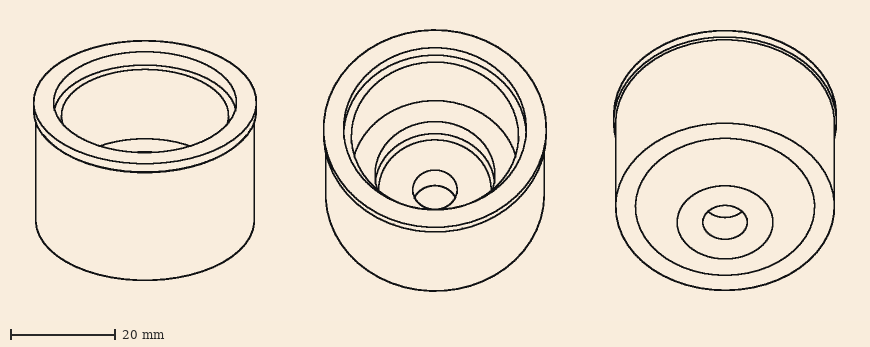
import cadquery as cq
import math

rim_diameter = 42.7
body_diameter = 41.95
total_height = 31.7
rim_height = 2.3
rim_chamfer_slope = 45.0
nose_height = 4.6
nose_tip_diameter = 18.35
nose_slope = 30.0

mouth_diameter = 35.0
mouth_depth = 3.07
bore_diameter = 32.02
bore_depth = 19.0
recess_diameter = 22.97
recess_wall_height = 5.0
recess_floor_diameter = 21.55
recess_foot_slope = 60.0
hole_diameter = 8.5


def cone_rise(wide_diameter, narrow_diameter, slope):
    """Height of a cone between two diameters at a slope in degrees."""
    return (wide_diameter - narrow_diameter) / 2 * math.tan(math.radians(slope))


nose_top_diameter = nose_tip_diameter + 2 * nose_height / math.tan(math.radians(nose_slope))

rim_bottom = total_height - rim_height
rim_chamfer_top = rim_bottom + cone_rise(rim_diameter, body_diameter, rim_chamfer_slope)
mouth_floor = total_height - mouth_depth
bore_floor = total_height - bore_depth
recess_foot_top = bore_floor - recess_wall_height
recess_floor = recess_foot_top - cone_rise(recess_diameter, recess_floor_diameter, recess_foot_slope)


def revolved(profile):
    """Turn a closed outline of (diameter, height) points about the Z axis."""
    points = [(diameter / 2, height) for diameter, height in profile]
    return cq.Workplane("XZ").polyline(points).close().revolve(360, (0, 0), (0, 1))


outside = [
    (hole_diameter, 0),
    (nose_tip_diameter, 0),
    (nose_top_diameter, nose_height),
    (body_diameter, nose_height),
    (body_diameter, rim_bottom),
    (rim_diameter, rim_chamfer_top),
    (rim_diameter, total_height),
]
inside = [
    (mouth_diameter, total_height),
    (mouth_diameter, mouth_floor),
    (bore_diameter, mouth_floor),
    (bore_diameter, bore_floor),
    (recess_diameter, bore_floor),
    (recess_diameter, recess_foot_top),
    (recess_floor_diameter, recess_floor),
    (hole_diameter, recess_floor),
]
result = revolved(outside + inside)